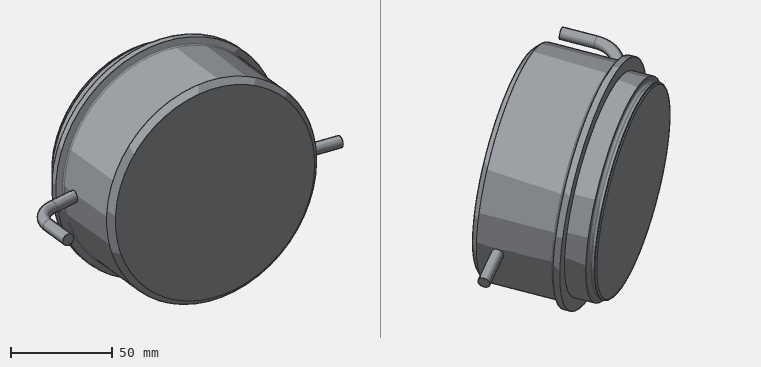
import cadquery as cq
import math

LIP_DIAMETER = 111.48
GROOVE_DIAMETER = 109.98
SHOULDER_DIAMETER = 116.1
FLANGE_DIAMETER = 130.18
BODY_DIAMETER = 122.66

LIP_CHAMFER = (LIP_DIAMETER - GROOVE_DIAMETER) / 2
LIP_END = 1.1
GROOVE_FLOOR_START = 2.7
GROOVE_FILLET = 1.6
SHOULDER_START = 4.76
FLANGE_START = 15.88
FLANGE_TAPER_END = 21.4
BODY_END = 64.1
FLANGE_TAPER_ANGLE = math.radians(70)
FLANGE_FILLET = 0.8
REAR_CHAMFER = 3.18

TUBE_DIAMETER = 6.35
STUB_X = 49.8
STUB_TIP_Y = 81.8
TUBE_TIP_X = 68.83
TUBE_LOWEST_Y = -91.74
TUBE_BEND_END_X = 50.5
TUBE_BEND_RADIUS = 16.5
TUBE_BEND_ANGLE = math.radians(75)
ROOT_DEPTH = 5.0


def make_body():
    """Revolve the half outline of the body about the X axis."""
    lip_radius = LIP_DIAMETER / 2
    groove_radius = GROOVE_DIAMETER / 2
    shoulder_radius = SHOULDER_DIAMETER / 2
    flange_radius = FLANGE_DIAMETER / 2
    body_radius = BODY_DIAMETER / 2

    run = GROOVE_FLOOR_START - LIP_END
    drop = lip_radius - groove_radius
    runout_radius = (run**2 + drop**2) / (2 * drop)
    runout_half_angle = math.atan2(drop, run)
    runout_middle = (
        GROOVE_FLOOR_START - runout_radius * math.sin(runout_half_angle),
        groove_radius + runout_radius * (1 - math.cos(runout_half_angle)),
    )

    groove_fillet_start = SHOULDER_START - GROOVE_FILLET
    groove_fillet_middle = (
        groove_fillet_start + GROOVE_FILLET * math.sin(math.pi / 4),
        groove_radius + GROOVE_FILLET * (1 - math.cos(math.pi / 4)),
    )

    def on_flange_fillet(angle):
        return (
            FLANGE_TAPER_END - FLANGE_FILLET * math.sin(angle),
            body_radius + FLANGE_FILLET * (1 - math.cos(angle)),
        )

    cone_end = on_flange_fillet(FLANGE_TAPER_ANGLE)
    rim_end = cone_end[0] - (flange_radius - cone_end[1]) / math.tan(FLANGE_TAPER_ANGLE)

    outline = (
        cq.Workplane("XY")
        .moveTo(0, 0)
        .lineTo(0, lip_radius - LIP_CHAMFER)
        .lineTo(LIP_CHAMFER, lip_radius)
        .lineTo(LIP_END, lip_radius)
        .threePointArc(runout_middle, (GROOVE_FLOOR_START, groove_radius))
        .lineTo(groove_fillet_start, groove_radius)
        .threePointArc(groove_fillet_middle, (SHOULDER_START, groove_radius + GROOVE_FILLET))
        .lineTo(SHOULDER_START, shoulder_radius)
        .lineTo(FLANGE_START, shoulder_radius)
        .lineTo(FLANGE_START, flange_radius)
        .lineTo(rim_end, flange_radius)
        .lineTo(*cone_end)
        .threePointArc(on_flange_fillet(FLANGE_TAPER_ANGLE / 2), (FLANGE_TAPER_END, body_radius))
        .lineTo(BODY_END - REAR_CHAMFER, body_radius)
        .lineTo(BODY_END, body_radius - REAR_CHAMFER)
        .lineTo(BODY_END, 0)
        .close()
    )
    return outline.revolve(360, (0, 0, 0), (1, 0, 0))


def make_straight_stub():
    """Straight tube standing out of the +Y side."""
    root_y = BODY_DIAMETER / 2 - ROOT_DEPTH
    stub = cq.Workplane("XZ", origin=(STUB_X, root_y, 0)).circle(TUBE_DIAMETER / 2)
    return stub.extrude(root_y - STUB_TIP_Y)


def make_bent_tube():
    """Tube that leaves the -Y side at a slant and bends round to point along +X."""
    straight_y = TUBE_LOWEST_Y + TUBE_DIAMETER / 2
    bend_center_y = straight_y + TUBE_BEND_RADIUS

    def on_bend(angle):
        return (
            TUBE_BEND_END_X - TUBE_BEND_RADIUS * math.sin(angle),
            bend_center_y - TUBE_BEND_RADIUS * math.cos(angle),
        )

    bend_start = on_bend(TUBE_BEND_ANGLE)
    root_y = -BODY_DIAMETER / 2 + ROOT_DEPTH
    root_x = bend_start[0] - (root_y - bend_start[1]) / math.tan(TUBE_BEND_ANGLE)
    path = (
        cq.Workplane("XY")
        .moveTo(TUBE_TIP_X, straight_y)
        .lineTo(TUBE_BEND_END_X, straight_y)
        .threePointArc(on_bend(TUBE_BEND_ANGLE / 2), bend_start)
        .lineTo(root_x, root_y)
    )
    section = cq.Workplane("YZ", origin=(TUBE_TIP_X, straight_y, 0)).circle(TUBE_DIAMETER / 2)
    return section.sweep(path)


result = make_body().union(make_straight_stub()).union(make_bent_tube())